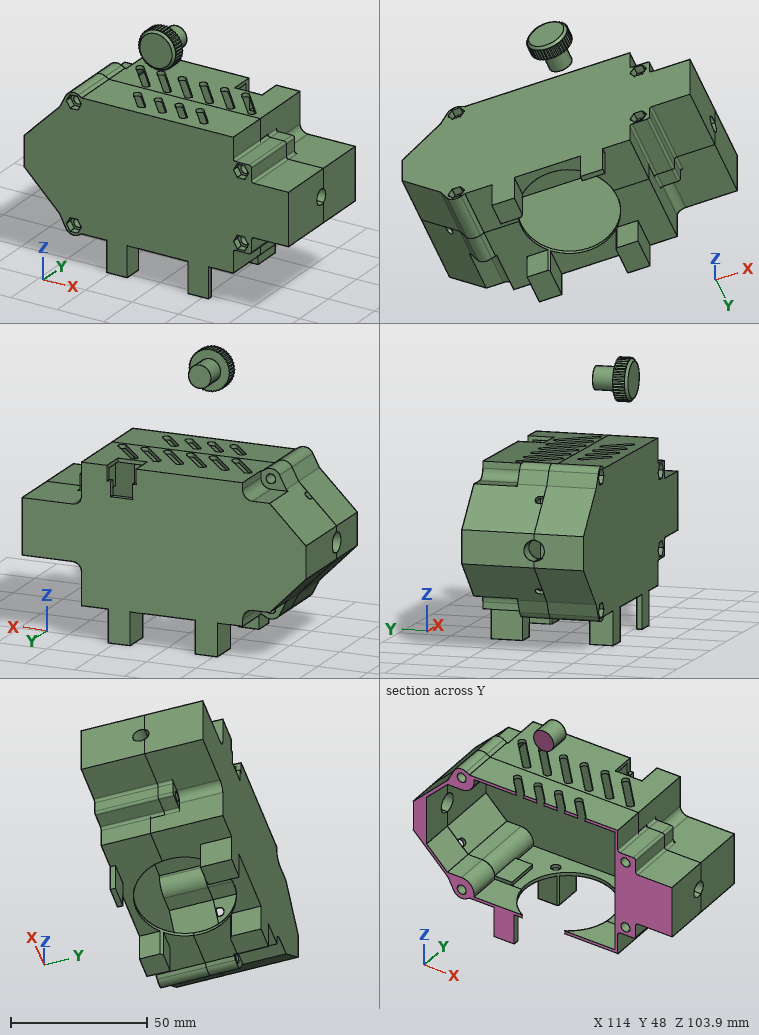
import cadquery as cq
import math


LENGTH = 114.0
DEPTH = 47.0
SIDE_WALL = 2.0
SHELL_WALL = 1.5
NOSE_WALL = 6.0
BODY_HALF_HEIGHT = 27.6
BODY_END = 90.2
NOSE_HALF_HEIGHT = 6.4
STEM_HALF_HEIGHT = 11.1

PARTING_Y = 19.0
STEM_PARTING_Y = 24.5

BOSS_X = 21.4
BOSS_Z = 25.0
BOSS_RADIUS = 4.0
BOSS_FLANK_ANGLE = 63.0
BOSS_BACK_ANGLE = 30.0
EAR_END = 98.0
EAR_HALF_HEIGHT = 18.0
EAR_FILLET = 1.0
EAR_SCREW_X = 93.5
EAR_SCREW_Z = 14.5
CLAMP_DEPTH = 30.3
STEM_ROOT_FILLET = 3.4
SCREW_HOLE = 3.8
NUT_CORNERS = 6.4
NUT_DEPTH = 3.0

NOSE_HOLE = 7.9
STEM_HOLE = 6.3
STEM_HOLE_Y = 23.0
TIE_SLOT_X = 10.7
TIE_SLOT_WIDTH = 3.1
TIE_SLOT_REACH = 3.0

VENT_WIDTH = 3.0
VENT_ANGLE = -50.0
BASE_VENT_COUNT = 6
BASE_VENT_PITCH = 9.1
BASE_VENT_LENGTH = 18.7
BASE_VENT_CENTER = (57.0, 27.8)
COVER_VENT_COUNT = 4
COVER_VENT_PITCH = 9.0
COVER_VENT_LENGTH = 13.3
COVER_VENT_CENTER = (57.3, 9.6)

FAN_X = 57.5
FAN_Y = 21.8
FAN_BORE = 37.8
FAN_SCREW_SPACING = 32.0

LEDGE_HALF_SPAN = 22.9
LEDGE_BACK_Y = 32.8

NOTCH_START = 68.2
NOTCH_WIDTH = 11.7
NOTCH_Y = 36.9
NOTCH_DEPTH = 5.9
NOTCH_NECK_WIDTH = 8.8

FOOT_WIDTH = 8.9
FOOT_HEIGHT = 13.0
FOOT_STARTS = (35.6, 70.6)
COVER_FOOT_DEPTHS = (9.0, SIDE_WALL)
BASE_FOOT_DEPTH = 12.1

KNOB_Z = 55.1
KNOB_FACE_Y = -1.0
KNOB_FACE_RADIUS = 7.0
KNOB_RADIUS = 8.2
KNURL_DEPTH = 0.3
KNURL_COUNT = 40
KNOB_HEAD_END = 4.6
KNOB_SHAFT = 9.0
KNOB_SHAFT_END = 13.5

INNER_HALF_HEIGHT = BODY_HALF_HEIGHT - SHELL_WALL
SIDES = (1, -1)
SCREW_POINTS = [
    (x, side * z) for x, z in ((BOSS_X, BOSS_Z), (EAR_SCREW_X, EAR_SCREW_Z)) for side in SIDES
]


def plane_at(y):
    """XZ sketch plane at the given Y, extruding toward +Y."""
    return cq.Workplane(cq.Plane(origin=(0, y, 0), xDir=(1, 0, 0), normal=(0, -1, 0)))


def prism(sketch, length):
    """Extrude an XZ sketch toward +Y."""
    return sketch.extrude(-length)


def block(x, y, z):
    """Box between the given (start, end) pairs."""
    return cq.Workplane("XY").box(
        x[1] - x[0], y[1] - y[0], z[1] - z[0], centered=False
    ).translate((x[0], y[0], z[0]))


def mirrored(shape):
    """The shape together with its mirror image below the nose axis."""
    return shape.union(shape.mirror("XY"))


def wedge_block(nose_x, slope_start_z, half_height, end_x, y_start, y_end):
    """Prism with a blunt nose that widens at 45 degrees to the given half height."""
    shoulder_x = nose_x + half_height - slope_start_z
    upper = [(nose_x, slope_start_z), (shoulder_x, half_height), (end_x, half_height)]
    lower = [(x, -z) for x, z in reversed(upper)]
    return prism(plane_at(y_start).polyline(upper + lower).close(), y_end - y_start)


def corner_zone(radius, y_start, y_end):
    """Region above and in front of a boss: a flat that runs into an arc round the boss axis."""
    top = BODY_HALF_HEIGHT + radius
    bend = radius * math.sqrt(0.5)
    sketch = (
        plane_at(y_start)
        .moveTo(0, BOSS_Z - radius)
        .lineTo(BOSS_X, BOSS_Z - radius)
        .threePointArc((BOSS_X + bend, BOSS_Z - bend), (BOSS_X + radius, BOSS_Z))
        .lineTo(BOSS_X + radius, top)
        .lineTo(0, top)
        .close()
    )
    return mirrored(prism(sketch, y_end - y_start))


def screw_boss():
    """Rounded boss, tangent to a steep flank on the nose side and a shallow one behind."""
    flank = math.radians(BOSS_FLANK_ANGLE)
    back = math.radians(BOSS_BACK_ANGLE)
    flank_x = BOSS_X - BOSS_RADIUS * math.sin(flank)
    flank_z = BOSS_Z + BOSS_RADIUS * math.cos(flank)
    back_x = BOSS_X + BOSS_RADIUS * math.sin(back)
    back_z = BOSS_Z + BOSS_RADIUS * math.cos(back)
    foot_x = (flank_z - NOSE_HALF_HEIGHT - flank_x * math.tan(flank)) / (1 - math.tan(flank))
    heel_x = back_x + (back_z - BODY_HALF_HEIGHT) / math.tan(back)
    sketch = (
        plane_at(0)
        .moveTo(foot_x, foot_x + NOSE_HALF_HEIGHT)
        .lineTo(flank_x, flank_z)
        .threePointArc((BOSS_X, BOSS_Z + BOSS_RADIUS), (back_x, back_z))
        .lineTo(heel_x, BODY_HALF_HEIGHT)
        .lineTo(heel_x, BOSS_Z - BOSS_RADIUS)
        .lineTo(foot_x, BOSS_Z - BOSS_RADIUS)
        .close()
    )
    return mirrored(prism(sketch, CLAMP_DEPTH))


def root_fillet(x, z, radius, length):
    """Concave fillet in the corner at (x, z), between a wall facing +X and a floor facing +Z."""
    bend = radius * (1 - math.sqrt(0.5))
    sketch = (
        plane_at(0)
        .moveTo(x, z)
        .lineTo(x + radius, z)
        .threePointArc((x + bend, z + bend), (x, z + radius))
        .close()
    )
    return mirrored(prism(sketch, length))


def stem_end():
    """Stem with the two screw ears at its root."""
    stem = block((BODY_END, LENGTH), (0, DEPTH), (-STEM_HALF_HEIGHT, STEM_HALF_HEIGHT))
    ears = block((BODY_END, EAR_END), (0, CLAMP_DEPTH), (-EAR_HALF_HEIGHT, EAR_HALF_HEIGHT))
    ears = ears.edges("|Y and >X").fillet(EAR_FILLET)
    return (
        stem.union(ears)
        .union(root_fillet(BODY_END, EAR_HALF_HEIGHT, EAR_FILLET, CLAMP_DEPTH))
        .union(root_fillet(EAR_END, STEM_HALF_HEIGHT, EAR_FILLET, CLAMP_DEPTH))
        .union(root_fillet(BODY_END, STEM_HALF_HEIGHT, STEM_ROOT_FILLET, DEPTH))
    )


def feet():
    """Four feet under the body, two at the front and two at the back."""
    z = (-BODY_HALF_HEIGHT - FOOT_HEIGHT, -BODY_HALF_HEIGHT)
    all_feet = cq.Workplane("XY")
    for start, cover_depth in zip(FOOT_STARTS, COVER_FOOT_DEPTHS):
        x = (start, start + FOOT_WIDTH)
        all_feet = all_feet.add(block(x, (0, cover_depth), z))
        all_feet = all_feet.add(block(x, (DEPTH - BASE_FOOT_DEPTH, DEPTH), z))
    return all_feet.combine()


def ledges():
    """Ledges on the bottom wall of the base."""
    z = (-INNER_HALF_HEIGHT, -INNER_HALF_HEIGHT + SHELL_WALL)
    y = (PARTING_Y, LEDGE_BACK_Y)
    front = block((BOSS_X, FAN_X - LEDGE_HALF_SPAN), y, z)
    return front.union(block((FAN_X + LEDGE_HALF_SPAN, BODY_END - SHELL_WALL), y, z))


def cavity():
    """Inside of the body, leaving the screw columns and the ledges."""
    column_radius = BOSS_RADIUS + SHELL_WALL
    inner_end = BODY_END - SHELL_WALL
    slope_start_z = NOSE_HALF_HEIGHT + NOSE_WALL - SHELL_WALL * math.sqrt(2)
    return (
        wedge_block(
            NOSE_WALL, slope_start_z, INNER_HALF_HEIGHT, inner_end, SIDE_WALL, DEPTH - SIDE_WALL
        )
        .cut(corner_zone(column_radius, 0, DEPTH))
        .cut(ledges())
    )


def screw_cuts():
    """Screw holes right through, with hexagonal nut pockets in the front face."""
    holes = prism(plane_at(0).pushPoints(SCREW_POINTS).circle(SCREW_HOLE / 2), DEPTH)
    nuts = prism(plane_at(0).pushPoints(SCREW_POINTS).polygon(6, NUT_CORNERS), NUT_DEPTH)
    return holes.union(nuts)


def vents(count, pitch, length, center):
    """Row of slanted slots through the top wall."""
    return (
        cq.Workplane("XY", origin=(*center, INNER_HALF_HEIGHT))
        .rarray(pitch, 1.1, count, 1)
        .slot2D(length, VENT_WIDTH, VENT_ANGLE)
        .extrude(SHELL_WALL)
    )


def fan_bore():
    """Round opening in the bottom wall, which also clears the corners of the feet."""
    bottom = cq.Workplane("XY", origin=(FAN_X, FAN_Y, -BODY_HALF_HEIGHT - FOOT_HEIGHT))
    return bottom.circle(FAN_BORE / 2).extrude(FOOT_HEIGHT + SHELL_WALL)


def fan_screw_holes():
    """Pair of screw holes through the bottom wall, behind the fan bore."""
    reach = FAN_SCREW_SPACING / 2
    bottom = cq.Workplane("XY", origin=(FAN_X, FAN_Y, -BODY_HALF_HEIGHT))
    holes = bottom.pushPoints([(-reach, reach), (reach, reach)]).circle(SCREW_HOLE / 2)
    return holes.extrude(SHELL_WALL)


def connector_notch():
    """Notch open to the top and back, with a narrower neck lower down in the back wall."""
    ledge_z = BODY_HALF_HEIGHT - NOTCH_DEPTH
    neck_start = NOTCH_START + (NOTCH_WIDTH - NOTCH_NECK_WIDTH) / 2
    wide = block(
        (NOTCH_START, NOTCH_START + NOTCH_WIDTH), (NOTCH_Y, DEPTH), (ledge_z, BODY_HALF_HEIGHT)
    )
    neck = block(
        (neck_start, neck_start + NOTCH_NECK_WIDTH),
        (DEPTH - SIDE_WALL, DEPTH),
        (ledge_z - NOTCH_DEPTH, ledge_z),
    )
    return wide.union(neck)


def cable_passages():
    """Holes along X: one through the nose wall, one through the stem."""
    nose = cq.Workplane("YZ").center(PARTING_Y, 0).circle(NOSE_HOLE / 2)
    nose = nose.extrude(NOSE_WALL)
    stem = (
        cq.Workplane("YZ", origin=(BODY_END - SHELL_WALL, STEM_HOLE_Y, 0))
        .circle(STEM_HOLE / 2)
        .extrude(LENGTH - BODY_END + SHELL_WALL)
    )
    return nose.union(stem)


def tie_slots():
    """Round-ended slots square to the nose faces, open to the parting plane."""
    plane = cq.Plane(
        origin=(TIE_SLOT_X, PARTING_Y, TIE_SLOT_X + NOSE_HALF_HEIGHT),
        xDir=(0, 1, 0),
        normal=(-1, 0, 1),
    )
    slot = cq.Workplane(plane).slot2D(2 * TIE_SLOT_REACH, TIE_SLOT_WIDTH)
    slot = slot.extrude(2 * SHELL_WALL, both=True)
    behind_parting = block((0, BODY_END), (PARTING_Y, DEPTH), (0, BODY_HALF_HEIGHT))
    return mirrored(slot.intersect(behind_parting))


def housing():
    """Whole housing, before it is split into cover and base."""
    return (
        wedge_block(0, NOSE_HALF_HEIGHT, BODY_HALF_HEIGHT, BODY_END, 0, DEPTH)
        .union(screw_boss())
        .cut(corner_zone(BOSS_RADIUS, CLAMP_DEPTH, DEPTH))
        .union(stem_end())
        .cut(cavity())
        .cut(fan_screw_holes())
        .union(feet())
        .cut(fan_bore())
        .cut(screw_cuts())
        .cut(vents(BASE_VENT_COUNT, BASE_VENT_PITCH, BASE_VENT_LENGTH, BASE_VENT_CENTER))
        .cut(vents(COVER_VENT_COUNT, COVER_VENT_PITCH, COVER_VENT_LENGTH, COVER_VENT_CENTER))
        .cut(connector_notch())
        .cut(cable_passages())
        .cut(tie_slots())
    )


def cover_zone():
    """Space in front of the parting surface, which steps back at the stem and its root."""
    z = (-LENGTH, LENGTH)
    body = block((0, BODY_END), (0, PARTING_Y), z)
    stem = block((BODY_END, LENGTH), (0, STEM_PARTING_Y), z)
    stem_root = block(
        (BODY_END - SHELL_WALL, BODY_END),
        (0, STEM_PARTING_Y),
        (-STEM_HALF_HEIGHT, STEM_HALF_HEIGHT),
    )
    return body.union(stem).union(stem_root)


def make_cover():
    return housing().intersect(cover_zone()).solids()


def make_base():
    return housing().cut(cover_zone()).solids()


def make_knob():
    """Thumb knob: knurled head with a chamfered face, and a plain shaft."""
    root_radius = KNOB_RADIUS - KNURL_DEPTH
    rim = []
    for tooth in range(KNURL_COUNT):
        for half_step, radius in ((0, KNOB_RADIUS), (0.5, root_radius)):
            angle = 2 * math.pi * (tooth + half_step) / KNURL_COUNT
            rim.append((radius * math.sin(angle), radius * math.cos(angle)))
    head = prism(plane_at(0).polyline(rim).close(), KNOB_HEAD_END)
    core_profile = [
        (0, KNOB_FACE_Y),
        (KNOB_FACE_RADIUS, KNOB_FACE_Y),
        (root_radius, 0),
        (root_radius, KNOB_HEAD_END),
        (KNOB_SHAFT / 2, KNOB_HEAD_END),
        (KNOB_SHAFT / 2, KNOB_SHAFT_END),
        (0, KNOB_SHAFT_END),
    ]
    core = cq.Workplane("XY").polyline(core_profile).close().revolve(360, (0, 0), (0, 1))
    return head.union(core).translate((FAN_X, 0, KNOB_Z)).solids()


cover = make_cover()
base = make_base()
knob = make_knob()

result = cq.Compound.makeCompound([cover.val(), base.val(), knob.val()])